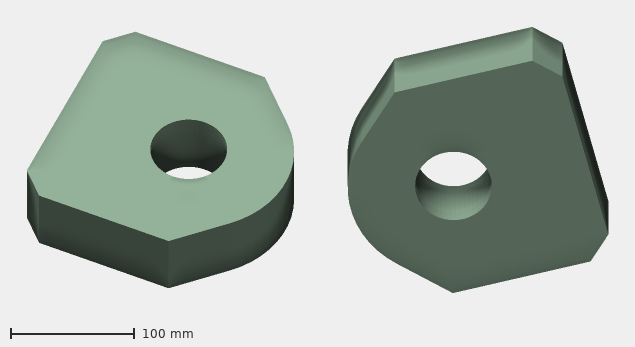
import cadquery as cq
import math

length = 195.5
width = 188.0
thickness = 60.0

corner_chamfer = 20.0
nose_radius = 80.0
bore_diameter = 62.0
bore_x = 110.0

half_width = width / 2
nose_center_x = length - nose_radius
tangent_offset = nose_radius * math.sin(math.radians(45))
tangent_x = nose_center_x + tangent_offset
flank_start_x = tangent_x - (half_width - tangent_offset)

plate = (
    cq.Workplane("XY")
    .moveTo(0, half_width - corner_chamfer)
    .lineTo(corner_chamfer, half_width)
    .lineTo(flank_start_x, half_width)
    .lineTo(tangent_x, tangent_offset)
    .threePointArc((length, 0), (tangent_x, -tangent_offset))
    .lineTo(flank_start_x, -half_width)
    .lineTo(corner_chamfer, -half_width)
    .lineTo(0, -half_width + corner_chamfer)
    .close()
    .extrude(thickness)
)

bore = cq.Workplane("XY").center(bore_x, 0).circle(bore_diameter / 2).extrude(thickness)

result = plate.cut(bore)